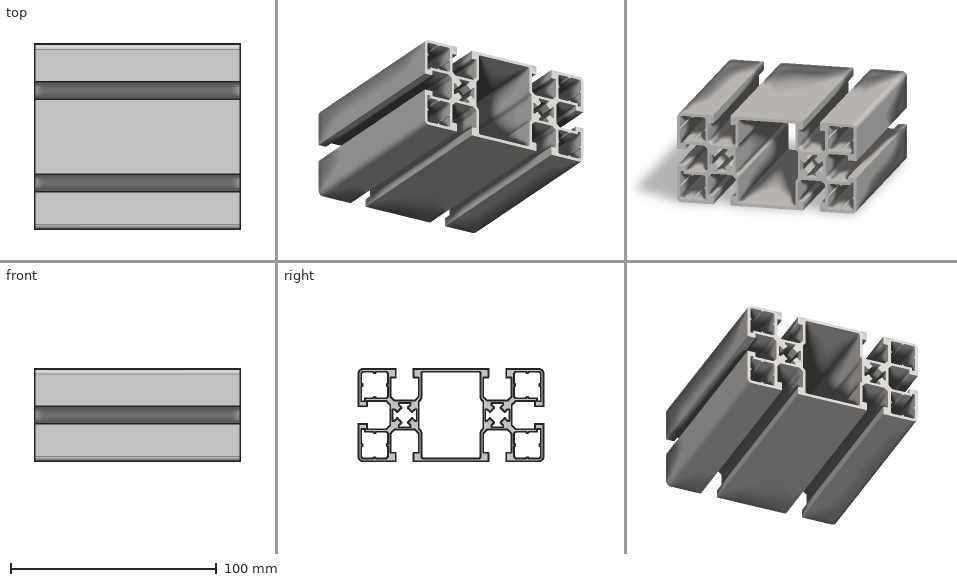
import cadquery as cq

LENGTH = 100.0
WIDTH = 90.0
HEIGHT = 45.0
MODULE = HEIGHT
CORNER_RADIUS = 2.5
OUTER_WALL = 1.5

SLOT_OPENING = 8.5
LIP_THICKNESS = 4.3
CHAMBER_WIDTH = 13.6
CHAMBER_DEPTH = 15.4
CHAMBER_CHAMFER = 1.8
CENTRE_LIP_RADIUS = 0.5

CORNER_CORE_END = 14.3
CORNER_CORE_RADIUS = 1.0
RIB_RADIUS = 0.6
LIP_NOTCH_WIDTH = 1.7

CORE_WIDTH = 28.6
CORE_WAIST_WIDTH = 31.2
CORE_WAIST_HEIGHT = 13.2
CORE_RADIUS = 0.8
CORE_STEP_RADIUS = 2.0

HUB_BORE = 11.6
PRONG_ROOT = 2.8
PRONG_STEP = 5.0
PRONG_TIP_NEAR = 1.4
PRONG_TIP_FAR = PRONG_TIP_NEAR + PRONG_STEP - PRONG_ROOT

SIDES = (-1, 1)
HUB_Y = (WIDTH - MODULE) / 2
CHAMBER_EDGE = (MODULE - CHAMBER_WIDTH) / 2


def extrude(sketch):
    """Run a closed YZ outline along the full length."""
    return sketch.extrude(LENGTH)


def section():
    """YZ plane with local x = Y and local y = Z, at the start of the profile."""
    return cq.Workplane("YZ").workplane(offset=-LENGTH / 2)


def box(y_min, y_max, z_min, z_max):
    """Full-length bar between the given Y and Z limits."""
    centre = section().center((y_min + y_max) / 2, (z_min + z_max) / 2)
    return extrude(centre.rect(y_max - y_min, z_max - z_min))


def t_slot():
    """T-slot cutter for the top face of a module centred on the X axis."""
    top = HEIGHT / 2
    half = CHAMBER_WIDTH / 2
    floor = top - CHAMBER_DEPTH
    opening = box(-SLOT_OPENING / 2, SLOT_OPENING / 2, floor, top)
    chamber = box(-half, half, floor, top - LIP_THICKNESS)
    chamber = chamber.edges("|X and <Z").chamfer(CHAMBER_CHAMFER)
    return opening.union(chamber)


def corner_hollow():
    """Ribbed hollow of the +Y +Z corner, with the notch behind the side lip."""
    outer_y = WIDTH / 2
    outer_z = HEIGHT / 2
    y_min = outer_y - CORNER_CORE_END
    y_max = outer_y - OUTER_WALL
    z_min = outer_z - CORNER_CORE_END
    z_max = outer_z - OUTER_WALL
    y_mid = (y_min + y_max) / 2
    z_mid = (z_min + z_max) / 2

    hollow = box(y_min, y_max, z_min, z_max).edges("|X").fillet(CORNER_CORE_RADIUS)
    notch = box(y_max - LIP_NOTCH_WIDTH, y_max, outer_z - CHAMBER_EDGE, z_mid)
    rib_places = [(y_min, z_mid), (y_max, z_mid), (y_mid, z_min), (y_mid, z_max)]
    ribs = extrude(section().pushPoints(rib_places).circle(RIB_RADIUS))
    return hollow.union(notch).cut(ribs)


def centre_hollow():
    """Large middle hollow, stepped out at 45 degrees beside the hubs."""
    waist_half = CORE_WAIST_HEIGHT / 2
    step = (CORE_WAIST_WIDTH - CORE_WIDTH) / 2
    core_half = HEIGHT / 2 - OUTER_WALL
    core = box(-CORE_WIDTH / 2, CORE_WIDTH / 2, -core_half, core_half)
    core = core.edges("|X").fillet(CORE_RADIUS)
    waist_end = waist_half + step
    waist = box(-CORE_WAIST_WIDTH / 2, CORE_WAIST_WIDTH / 2, -waist_end, waist_end)
    hollow = core.union(waist.edges("|X").chamfer(step))
    for side_y in SIDES:
        for side_z in SIDES:
            step_edge = cq.selectors.NearestToPointSelector((0, side_y * CORE_WIDTH / 2, side_z * waist_end))
            hollow = hollow.edges("|X").edges(step_edge).fillet(CORE_STEP_RADIUS)
    return hollow


def prong():
    """Prong in the +Y +Z corner of a hub bore centred on the X axis."""
    bore = HUB_BORE / 2
    outline = [
        (bore, bore),
        (PRONG_ROOT, bore),
        (PRONG_ROOT, PRONG_STEP),
        (PRONG_TIP_NEAR, PRONG_TIP_FAR),
        (PRONG_TIP_FAR, PRONG_TIP_NEAR),
        (PRONG_STEP, PRONG_ROOT),
        (bore, PRONG_ROOT),
    ]
    return extrude(section().polyline(outline).close())


def hub_bore():
    """Square hub bore less its four prongs, centred on the X axis."""
    bore = extrude(section().rect(HUB_BORE, HUB_BORE))
    for quarter in range(4):
        bore = bore.cut(prong().rotate((0, 0, 0), (1, 0, 0), 90 * quarter))
    return bore


result = extrude(section().rect(WIDTH, HEIGHT)).edges("|X").fillet(CORNER_RADIUS)

for side in SIDES:
    for angle in (0, 180, -90 * side):
        slot = t_slot().rotate((0, 0, 0), (1, 0, 0), angle)
        result = result.cut(slot.translate((0, side * HUB_Y, 0)))
    result = result.cut(hub_bore().translate((0, side * HUB_Y, 0)))

hollow_pair = corner_hollow()
hollow_pair = hollow_pair.union(hollow_pair.mirror("XZ"))
result = result.cut(hollow_pair).cut(hollow_pair.mirror("XY"))

result = result.cut(centre_hollow())

lip_y = HUB_Y - SLOT_OPENING / 2
lip_z = HEIGHT / 2 - LIP_THICKNESS
for side_y in SIDES:
    for side_z in SIDES:
        lip_edge = cq.selectors.NearestToPointSelector((0, side_y * lip_y, side_z * lip_z))
        result = result.edges("|X").edges(lip_edge).fillet(CENTRE_LIP_RADIUS)